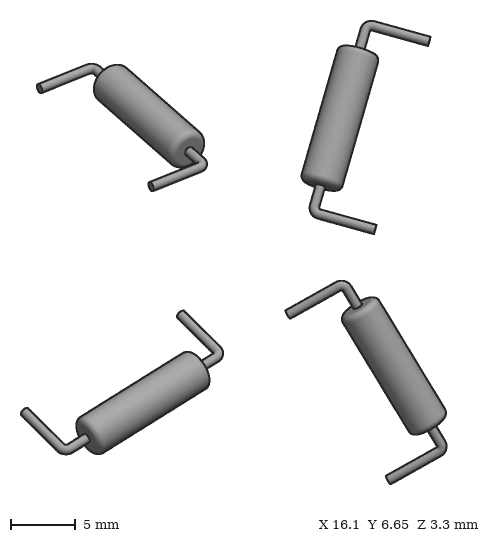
import cadquery as cq

body_length = 11.05
body_diameter = 3.3
body_edge_radius = 0.5

overall_length = 16.13
lead_diameter = 0.76
inner_bend_radius = 0.12
lead_reach = 5.0

lead_radius = lead_diameter / 2
bend_radius = inner_bend_radius + lead_radius
lead_x = overall_length / 2 - lead_radius
bend_start_x = lead_x - bend_radius


def make_body():
    """Cylinder centred on the origin with rounded end edges."""
    return (
        cq.Workplane("YZ", origin=(-body_length / 2, 0, 0))
        .circle(body_diameter / 2)
        .extrude(body_length)
        .edges("%CIRCLE")
        .fillet(body_edge_radius)
    )


def make_right_lead():
    """Straight run out of the body, a 90 degree bend, then a run to the tip."""
    body_end_x = body_length / 2
    axial_run = (
        cq.Workplane("YZ", origin=(body_end_x, 0, 0))
        .circle(lead_radius)
        .extrude(bend_start_x - body_end_x)
    )
    bend = (
        cq.Workplane("YZ", origin=(bend_start_x, 0, 0))
        .circle(lead_radius)
        .revolve(90, (-bend_radius, 1, 0), (-bend_radius, 0, 0))
    )
    tip_run = (
        cq.Workplane("XZ", origin=(lead_x, -bend_radius, 0))
        .circle(lead_radius)
        .extrude(lead_reach - bend_radius)
    )
    return axial_run.union(bend).union(tip_run)


right_lead = make_right_lead()
left_lead = right_lead.mirror("YZ")

result = make_body().union(right_lead).union(left_lead)